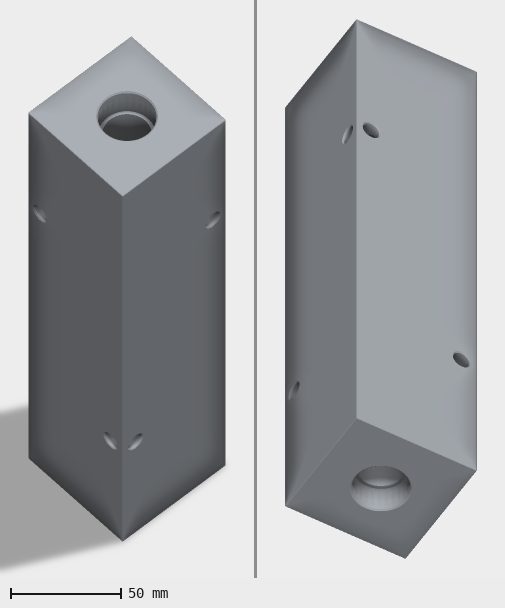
import cadquery as cq

length = 266.7
width = 63.5
edge_chamfer = 0.3

bore_diameter = 22.5
port_diameter = 26.7
port_depth = 14.0
port_chamfer = 0.67
port_diameter_taper = 1 / 16

cross_hole_diameter = 8.5
cross_hole_chamfer = 0.5
cross_hole_edge_distance = 8.0
cross_hole_end_distance = 70.0

half_length = length / 2
cross_hole_offset = width / 2 - cross_hole_edge_distance
cross_hole_height = half_length - cross_hole_end_distance


def bore_cutter():
    """Revolved tool for the stepped central bore, symmetric end to end."""
    floor_height = half_length - port_depth
    chamfer_height = half_length - port_chamfer
    bore_radius = bore_diameter / 2
    port_radius = port_diameter / 2
    mouth_radius = port_radius + port_chamfer
    floor_radius = port_radius - (chamfer_height - floor_height) * port_diameter_taper / 2
    upper_profile = (
        cq.Workplane("XZ")
        .moveTo(0, 0)
        .lineTo(bore_radius, 0)
        .lineTo(bore_radius, floor_height)
        .lineTo(floor_radius, floor_height)
        .lineTo(port_radius, chamfer_height)
        .lineTo(mouth_radius, half_length)
        .lineTo(0, half_length)
        .close()
    )
    upper = upper_profile.revolve(360, (0, 0, 0), (0, 1, 0))
    return upper.union(upper.mirror("XY"))


def cross_hole_cutter():
    """Revolved tool along Z, as long as the block is wide, flared at both ends."""
    half_width = width / 2
    hole_radius = cross_hole_diameter / 2
    mouth_radius = hole_radius + cross_hole_chamfer
    chamfer_start = half_width - cross_hole_chamfer
    return (
        cq.Workplane("XZ")
        .moveTo(0, -half_width)
        .lineTo(mouth_radius, -half_width)
        .lineTo(hole_radius, -chamfer_start)
        .lineTo(hole_radius, chamfer_start)
        .lineTo(mouth_radius, half_width)
        .lineTo(0, half_width)
        .close()
        .revolve(360, (0, 0, 0), (0, 1, 0))
    )


block = cq.Workplane("XY").box(width, width, length).edges().chamfer(edge_chamfer)
result = block.cut(bore_cutter())

hole_along_x = cross_hole_cutter().rotate((0, 0, 0), (0, 1, 0), 90)
hole_along_y = cross_hole_cutter().rotate((0, 0, 0), (1, 0, 0), 90)
for end in (1, -1):
    height = end * cross_hole_height
    offset = end * cross_hole_offset
    result = result.cut(hole_along_x.translate((0, offset, height)))
    result = result.cut(hole_along_y.translate((-offset, 0, height)))